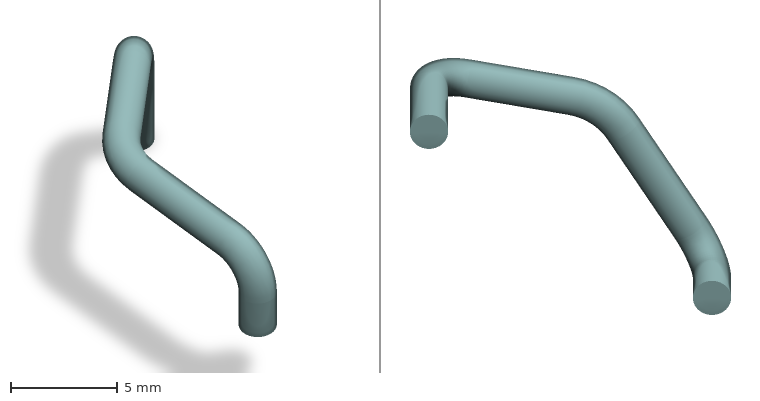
import cadquery as cq
import math

overall_length = 18.4
wire_diameter = 1.8
left_leg_height = 7.2
right_leg_height = 4.99
left_bend_radius = 1.8
right_bend_radius = 1.97
middle_bend_radius = 3.68
left_arm_angle = 25.8
right_arm_angle = 22.2

wire_radius = wire_diameter / 2
leg_spacing = overall_length - wire_diameter
left_slope = math.tan(math.radians(left_arm_angle))
right_slope = math.tan(math.radians(right_arm_angle))
apex_offset = leg_spacing * right_slope / (left_slope + right_slope)

left_foot = cq.Vector(0, 0, wire_radius - left_leg_height)
left_corner = cq.Vector(0, 0, 0)
apex = cq.Vector(apex_offset, -apex_offset * left_slope, 0)
right_corner = cq.Vector(leg_spacing, 0, 0)
right_foot = cq.Vector(leg_spacing, 0, wire_radius - right_leg_height)


def bend_points(before, corner, after, radius):
    """Return the start, middle and end of the arc that rounds a corner."""
    toward_before = (before - corner).normalized()
    toward_after = (after - corner).normalized()
    half_angle = toward_before.getAngle(toward_after) / 2
    tangent_length = radius / math.tan(half_angle)
    middle_distance = radius / math.sin(half_angle) - radius
    bisector = (toward_before + toward_after).normalized()
    return (
        corner + toward_before * tangent_length,
        corner + bisector * middle_distance,
        corner + toward_after * tangent_length,
    )


bends = [
    bend_points(left_foot, left_corner, apex, left_bend_radius),
    bend_points(left_corner, apex, right_corner, middle_bend_radius),
    bend_points(apex, right_corner, right_foot, right_bend_radius),
]

edges = []
run_start = left_foot
for bend_start, bend_middle, bend_end in bends:
    edges.append(cq.Edge.makeLine(run_start, bend_start))
    edges.append(cq.Edge.makeThreePointArc(bend_start, bend_middle, bend_end))
    run_start = bend_end
edges.append(cq.Edge.makeLine(run_start, right_foot))
centreline = cq.Wire.assembleEdges(edges)

section = cq.Workplane("XY", origin=left_foot.toTuple()).circle(wire_radius)
result = section.sweep(cq.Workplane(obj=centreline))